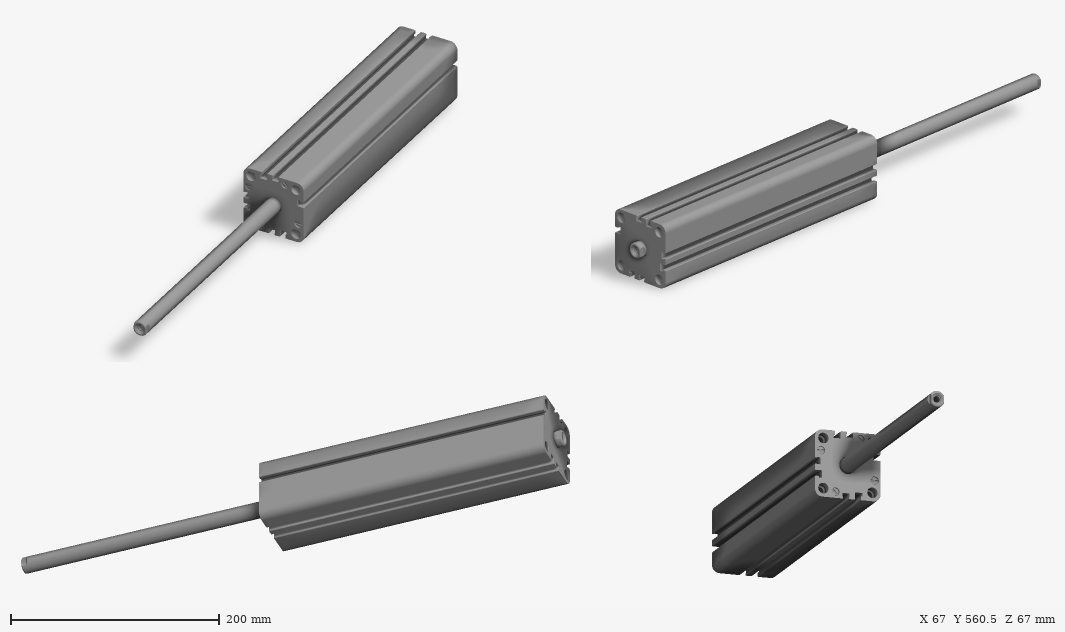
import cadquery as cq
import math

body_width = 67.0
body_length = 295.5
cap_length = 15.0
corner_radius = 7.5
half_width = body_width / 2

rod_dia = 16.0
stroke = 250.0
rear_overhang = 7.5
front_overhang = stroke + rear_overhang
rod_end_radius = 1.8
flat_width = 13.0
flat_length = 5.3
flat_shoulder = (rod_dia - flat_width) / 2
bushing_bore_dia = 17.6
bushing_recess_depth = 3.0

rod_thread_dia = 6.65
rod_relief_dia = 8.0
rod_relief_depth = 3.0
rod_countersink_dia = 11.5
rod_thread_depth = 20.0
drill_point_angle = 118.0
drill_tip_depth = rod_thread_dia / 2 / math.tan(math.radians(drill_point_angle / 2))

mount_spacing = 50.0
mount_dia = 6.65
mount_counterbore_dia = 10.5
mount_counterbore_depth = 10.0

screw_pocket_dia = 8.25
screw_dia = 7.5
screw_recess_depth = 1.0
screw_gap_depth = 2.0
screw_slot_width = 2.0
screw_slot_depth = 1.0
screw_offset = 12.7
screw_height = 27.4

shallow_center = 1.95
shallow_opening = 5.8
shallow_inner = 6.9
shallow_lip = 2.0
shallow_depth = 5.6

deep_wall = -7.4
deep_opening = 5.8
deep_undercut = 1.5
deep_lip = 4.0
deep_depth = 7.3

mouth_chamfer = 0.5

TOP, LEFT, BOTTOM, RIGHT = 0, 90, 180, 270

screw_slot_angles = {TOP: 45, LEFT: 0, BOTTOM: 45, RIGHT: 0}


def turned(shape, angle):
    """Turn a shape from the top face to another face, about the Y axis."""
    return shape.rotate((0, 0, 0), (0, -1, 0), angle)


def prism(outline, length):
    """Extrude an (X, Z) outline from the front face along +Y."""
    return cq.Workplane("XZ").polyline(outline).close().extrude(-length)


def cylinder(dia, start, length, x=0.0, z=0.0):
    """Cylinder along +Y that begins at Y = start."""
    return cq.Workplane("XZ", origin=(x, start, z)).circle(dia / 2).extrude(-length)


def shallow_slot(length):
    """T slot in the top face, undercut on both sides."""
    left = shallow_center - shallow_opening / 2
    right = shallow_center + shallow_opening / 2
    inner_left = shallow_center - shallow_inner / 2
    inner_right = shallow_center + shallow_inner / 2
    lip = half_width - shallow_lip
    floor = half_width - shallow_depth
    return prism(
        [
            (left - mouth_chamfer, half_width),
            (left, half_width - mouth_chamfer),
            (left, lip),
            (inner_left, lip),
            (inner_left, floor),
            (inner_right, floor),
            (inner_right, lip),
            (right, lip),
            (right, half_width - mouth_chamfer),
            (right + mouth_chamfer, half_width),
        ],
        length,
    )


def deep_slot(length):
    """L slot in the top face, with one straight wall and one undercut lip."""
    lip_edge = deep_wall - deep_opening
    inner = lip_edge - deep_undercut
    lip = half_width - deep_lip
    floor = half_width - deep_depth
    return prism(
        [
            (deep_wall + mouth_chamfer, half_width),
            (deep_wall, half_width - mouth_chamfer),
            (deep_wall, floor),
            (inner, floor),
            (inner, lip),
            (lip_edge, lip),
            (lip_edge, half_width - mouth_chamfer),
            (lip_edge - mouth_chamfer, half_width),
        ],
        length,
    )


def body_section(start, length):
    """One length of the slotted square profile, with the four corner holes."""
    section = cq.Workplane("XZ").rect(body_width, body_width).extrude(-length)
    section = section.edges("|Y").fillet(corner_radius)
    for angle in (TOP, LEFT, BOTTOM, RIGHT):
        section = section.cut(turned(deep_slot(length), angle))
    for angle in (TOP, LEFT, BOTTOM):
        section = section.cut(turned(shallow_slot(length), angle))
    holes = (
        cq.Workplane("XZ")
        .rect(mount_spacing, mount_spacing, forConstruction=True)
        .vertices()
        .circle(mount_dia / 2)
        .extrude(-length)
    )
    return section.cut(holes).translate((0, start, 0))


def cone(large_dia, small_dia, length):
    """Cone along +Y with its large end at Y = 0."""
    solid = cq.Solid.makeCone(
        large_dia / 2, small_dia / 2, length, cq.Vector(0, 0, 0), cq.Vector(0, 1, 0)
    )
    return cq.Workplane("XY").newObject([solid])


def mirrored_ends(tool):
    """Front-end tool together with its copy at the rear of the body."""
    return tool.union(tool.mirror("XZ", (0, body_length / 2, 0)))


def mount_counterbores():
    """Counterbores of the corner holes, at both ends of the body."""
    offset = mount_spacing / 2
    tools = cq.Workplane("XY")
    for x in (-offset, offset):
        for z in (-offset, offset):
            tools = tools.union(cylinder(mount_counterbore_dia, 0, mount_counterbore_depth, x, z))
    return mirrored_ends(tools)


def screw_recess(slot_angle):
    """Pocket over a sunk screw, the ring gap round the screw, and its driver slot."""
    recess = cylinder(screw_pocket_dia, 0, screw_recess_depth)
    ring = cylinder(screw_pocket_dia, 0, screw_gap_depth).cut(
        cylinder(screw_dia, 0, screw_gap_depth)
    )
    recess_core = cylinder(screw_dia, 0, screw_recess_depth + screw_slot_depth)
    slot = (
        cq.Workplane("XZ")
        .rect(screw_slot_width, screw_pocket_dia)
        .extrude(-(screw_recess_depth + screw_slot_depth))
        .intersect(recess_core)
    )
    tool = recess.union(ring).union(turned(slot, slot_angle))
    return tool.translate((screw_offset, 0, screw_height))


def rod_end():
    """Wrench flats and centre hole of a rod end at Y = 0, the rod lying along +Y."""
    half_flat = flat_width / 2
    half_rod = rod_dia / 2
    flat = (
        cq.Workplane("XY")
        .polyline(
            [
                (half_flat, 0),
                (half_rod, 0),
                (half_rod, flat_length + flat_shoulder),
                (half_flat, flat_length),
            ]
        )
        .close()
        .extrude(half_rod, both=True)
    )
    bore = cylinder(rod_thread_dia, 0, rod_thread_depth)
    tip = cone(rod_thread_dia, 0, drill_tip_depth).translate((0, rod_thread_depth, 0))
    relief = cylinder(rod_relief_dia, 0, rod_relief_depth)
    sink_depth = (rod_countersink_dia - rod_relief_dia) / 2
    sink = cone(rod_countersink_dia, rod_relief_dia, sink_depth)
    center_hole = bore.union(tip).union(relief).union(sink)
    return [flat, flat.mirror("YZ"), center_hole]


def piston_rod():
    """Rod with rounded ends, wrench flats and a thread hole at both ends."""
    length = front_overhang + body_length + rear_overhang
    rod = cylinder(rod_dia, 0, length).edges("%CIRCLE").fillet(rod_end_radius)
    for tool in rod_end():
        rod = rod.cut(tool)
        rod = rod.cut(tool.mirror("XZ", (0, length / 2, 0)))
    return rod.translate((0, -front_overhang, 0))


def cylinder_body():
    """Barrel and end caps with the rod recesses, mounting holes and screws."""
    barrel_length = body_length - 2 * cap_length
    body = body_section(0, cap_length)
    body = body.union(body_section(cap_length, barrel_length), clean=False)
    body = body.union(body_section(cap_length + barrel_length, cap_length), clean=False)
    body = body.cut(mirrored_ends(cylinder(bushing_bore_dia, 0, bushing_recess_depth)), clean=False)
    body = body.cut(mount_counterbores(), clean=False)
    for angle, slot_angle in screw_slot_angles.items():
        body = body.cut(turned(screw_recess(slot_angle), angle), clean=False)
    return body


result = cylinder_body().union(piston_rod(), clean=False)